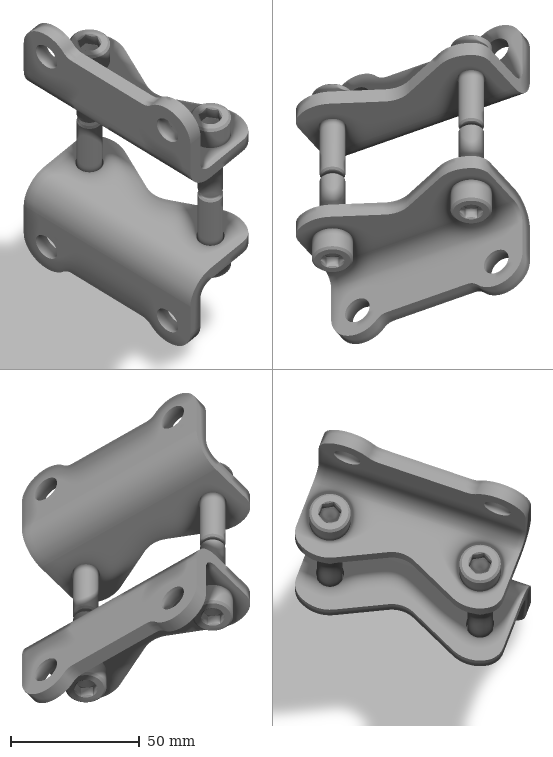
import cadquery as cq
import math

overall_height = 127.5
width = 85.5
depth = 40.5
half_width = width / 2

plate_thickness = 6.0
plate_height = 38.9
bend_inner_radius = plate_thickness
bend_outer_radius = bend_inner_radius + plate_thickness
top_z = overall_height / 2
shelf_bottom_z = top_z - plate_height
shelf_top_z = shelf_bottom_z + plate_thickness

hole_diameter = 11.0
ear_radius = 11.7
ear_x = half_width - ear_radius
ear_z = top_z - ear_radius
ear_rise = 5.7
web_z = top_z - ear_rise
ear_root_radius = 6.0

lobe_radius = 15.0
bolt_x = ear_x
bolt_y = depth - lobe_radius
vee_angle = math.radians(26)
vee_root_radius = 12.0
lobe_corner_radius = 8.0

shank_diameter = 10.0
shank_length = 30.0
shank_chamfer = 0.8
head_diameter = 16.0
head_height = 10.0
head_chamfer = 0.9
head_seat_chamfer = 0.3
socket_flats = 8.0
socket_depth = 5.0
socket_corners = socket_flats / math.cos(math.radians(30))
drill_half_angle = math.radians(60)


def make_bent_strip():
    """L-shaped strip: shelf towards +Y, upright leg along the Y = 0 face."""
    return (
        cq.Workplane("YZ")
        .moveTo(0, top_z)
        .lineTo(0, shelf_bottom_z + bend_outer_radius)
        .radiusArc((bend_outer_radius, shelf_bottom_z), -bend_outer_radius)
        .lineTo(depth, shelf_bottom_z)
        .lineTo(depth, shelf_top_z)
        .lineTo(bend_outer_radius, shelf_top_z)
        .radiusArc((plate_thickness, shelf_bottom_z + bend_outer_radius), bend_inner_radius)
        .lineTo(plate_thickness, top_z)
        .close()
        .extrude(half_width, both=True)
    )


def make_leg_outline():
    """Prism along Y with the outline of the upright leg: two round ears joined by a lower web."""
    root_z = web_z + ear_root_radius
    center_distance = ear_radius + ear_root_radius
    root_x = ear_x - math.sqrt(center_distance**2 - (root_z - ear_z) ** 2)
    blend = ear_radius / center_distance
    blend_x = ear_x + (root_x - ear_x) * blend
    blend_z = ear_z + (root_z - ear_z) * blend
    return (
        cq.Workplane("XZ")
        .moveTo(-half_width, shelf_bottom_z)
        .lineTo(half_width, shelf_bottom_z)
        .lineTo(half_width, ear_z)
        .threePointArc((ear_x, top_z), (blend_x, blend_z))
        .radiusArc((root_x, web_z), ear_root_radius)
        .lineTo(-root_x, web_z)
        .radiusArc((-blend_x, blend_z), ear_root_radius)
        .threePointArc((-ear_x, top_z), (-half_width, ear_z))
        .close()
        .extrude(-depth)
    )


def make_shelf_outline():
    """Prism along Z with the outline of the shelf: two round lobes with a shallow V between them."""
    tangent_x = bolt_x - lobe_radius * math.sin(vee_angle)
    tangent_y = bolt_y + lobe_radius * math.cos(vee_angle)
    vee_y = tangent_y - tangent_x * math.tan(vee_angle)
    corner_y = bolt_y + math.sqrt(lobe_radius**2 - (half_width - bolt_x) ** 2)
    prism = (
        cq.Workplane("XY", origin=(0, 0, shelf_bottom_z))
        .moveTo(-half_width, 0)
        .lineTo(half_width, 0)
        .lineTo(half_width, corner_y)
        .threePointArc((bolt_x, depth), (tangent_x, tangent_y))
        .lineTo(0, vee_y)
        .lineTo(-tangent_x, tangent_y)
        .threePointArc((-bolt_x, depth), (-half_width, corner_y))
        .close()
        .extrude(plate_height)
    )
    prism_middle_z = shelf_bottom_z + plate_height / 2
    for x, y, radius in (
        (0, vee_y, vee_root_radius),
        (half_width, corner_y, lobe_corner_radius),
        (-half_width, corner_y, lobe_corner_radius),
    ):
        nearest_edge = cq.selectors.NearestToPointSelector((x, y, prism_middle_z))
        prism = prism.edges(nearest_edge).fillet(radius)
    return prism


def make_bracket():
    """Upper bracket with two mounting holes in the leg and two bolt holes in the shelf."""
    mounting_holes = (
        cq.Workplane("XZ")
        .pushPoints([(-ear_x, ear_z), (ear_x, ear_z)])
        .circle(hole_diameter / 2)
        .extrude(-plate_thickness)
    )
    bolt_holes = (
        cq.Workplane("XY", origin=(0, 0, shelf_bottom_z))
        .pushPoints([(-bolt_x, bolt_y), (bolt_x, bolt_y)])
        .circle(hole_diameter / 2)
        .extrude(plate_thickness)
    )
    blank = make_bent_strip().intersect(make_leg_outline()).intersect(make_shelf_outline())
    return blank.cut(mounting_holes).cut(bolt_holes)


def make_socket():
    """Hexagon socket sunk from the head top, with a conical mouth and a conical drill point."""
    hexagon = (
        cq.Workplane("XY", origin=(0, 0, head_height))
        .transformed(rotate=(0, 0, 30))
        .polygon(6, socket_corners)
        .extrude(-socket_depth)
    )
    mouth_radius = socket_corners / 2
    mouth = cq.Solid.makeCone(0, mouth_radius, mouth_radius, pnt=cq.Vector(0, 0, head_height - mouth_radius))
    drill_radius = socket_flats / 2
    point_depth = drill_radius / math.tan(drill_half_angle)
    point_z = head_height - socket_depth - point_depth
    drill_point = cq.Solid.makeCone(0, drill_radius, point_depth, pnt=cq.Vector(0, 0, point_z))
    return hexagon.union(cq.Workplane(mouth)).union(cq.Workplane(drill_point))


def make_bolt():
    """Bolt along Z whose head rests on Z = 0, shank downwards."""
    head = (
        cq.Workplane("XY")
        .circle(head_diameter / 2)
        .extrude(head_height)
        .faces(">Z")
        .chamfer(head_chamfer)
        .faces("<Z")
        .chamfer(head_seat_chamfer)
    )
    shank = (
        cq.Workplane("XY")
        .circle(shank_diameter / 2)
        .extrude(-shank_length)
        .faces("<Z")
        .chamfer(shank_chamfer)
    )
    return head.union(shank).cut(make_socket())


upper_bracket = make_bracket()
brackets = [upper_bracket, upper_bracket.mirror("XY")]

bolts = []
for x in (-bolt_x, bolt_x):
    upper_bolt = make_bolt().translate((x, bolt_y, shelf_top_z))
    bolts.append(upper_bolt)
    bolts.append(upper_bolt.mirror("XY"))

result = cq.Compound.makeCompound([body.val() for body in brackets + bolts])